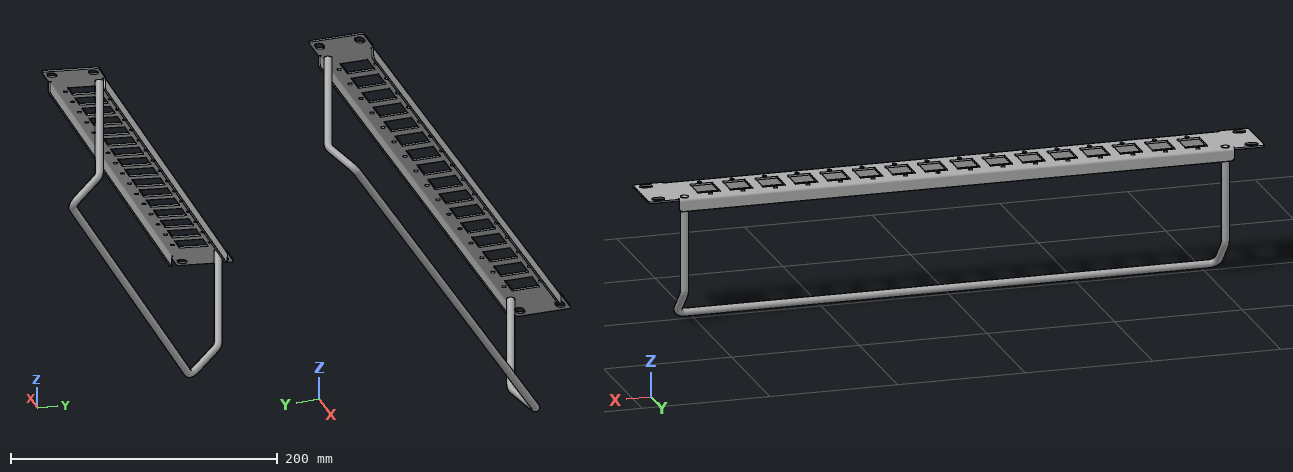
import cadquery as cq
import math

panel_length = 482.5
panel_width = 44.0
overall_height = 102.0
sheet = 1.5
corner_radius = 2.5

flange_length = 435.0
flange_height = 10.0
bend_radius = 2.5
flange_corner = 2.5

slot_span_x = 464.7
slot_span_y = 32.0
slot_length = 9.5
slot_width = 6.8

window_count = 16
window_row = 381.5
window_width = 17.5
window_height = 21.5
screw_hole_span = 29.0
screw_hole = 3.0

rod_diameter = 6.5
rod_span = 423.5
rod_y = panel_width / 2 - 6.0
rod_bend = 7.0
knee_depth = 76.3
knee_angle = 44.0

countersink_top = 6.5
countersink_bottom = 3.5
thread_hole = 2.45
thread_depth = 9.0
pilot_hole = 2.25
pilot_depth = 16.5


def make_panel():
    plate = (
        cq.Workplane("XY")
        .box(panel_length, panel_width, sheet, centered=(True, True, False))
        .edges("|Z")
        .fillet(corner_radius)
        .translate((0, 0, -sheet))
    )
    channel = (
        cq.Workplane("XY")
        .box(flange_length, panel_width, flange_height, centered=(True, True, False))
        .translate((0, 0, -flange_height))
    )
    plate = plate.cut(channel)
    channel = channel.edges("|X and >Z").fillet(bend_radius)
    inside = (
        cq.Workplane("XY")
        .box(flange_length, panel_width - 2 * sheet, flange_height, centered=(True, True, False))
        .edges("|X and >Z")
        .fillet(bend_radius - sheet)
        .translate((0, 0, -flange_height - sheet))
    )
    channel = channel.cut(inside).edges("|Y and <Z").fillet(flange_corner)
    return plate.union(channel)


def cut_slots(body):
    slots = (
        cq.Workplane("XY")
        .rarray(slot_span_x, slot_span_y, 2, 2)
        .slot2D(slot_length, slot_width)
        .extrude(-sheet)
    )
    return body.cut(slots)


def cut_windows(body):
    pitch = window_row / (window_count - 1)
    windows = (
        cq.Workplane("XY")
        .rarray(pitch, 5, window_count, 1)
        .rect(window_width, window_height)
        .extrude(-sheet)
    )
    holes = (
        cq.Workplane("XY")
        .rarray(pitch, screw_hole_span, window_count, 2)
        .circle(screw_hole / 2)
        .extrude(-sheet)
    )
    return body.cut(windows).cut(holes)


def make_rod():
    rod_radius = rod_diameter / 2
    tilt = math.radians(knee_angle)
    down = cq.Vector(0, 0, -1)
    slope = cq.Vector(0, -math.sin(tilt), -math.cos(tilt))
    across = cq.Vector(1, 0, 0)

    top = cq.Vector(-rod_span / 2, rod_y, -sheet)
    knee = cq.Vector(-rod_span / 2, rod_y, -knee_depth)
    slope_length = (overall_height - rod_radius - knee_depth) / math.cos(tilt)
    corner = knee + slope * slope_length

    knee_tangent = rod_bend * math.tan(tilt / 2)
    knee_start = knee - down * knee_tangent
    knee_end = knee + slope * knee_tangent
    corner_start = corner - slope * rod_bend
    corner_end = corner + across * rod_bend

    path = cq.Wire.assembleEdges([
        cq.Edge.makeLine(top, knee_start),
        cq.Edge.makeTangentArc(knee_start, down, knee_end),
        cq.Edge.makeLine(knee_end, corner_start),
        cq.Edge.makeTangentArc(corner_start, slope, corner_end),
    ])
    leg = (
        cq.Workplane("XY", origin=top.toTuple())
        .circle(rod_radius)
        .sweep(cq.Workplane(path))
    )
    bar = cq.Solid.makeCylinder(rod_radius, rod_span - 2 * rod_bend, corner_end, across)
    return leg.union(bar).union(leg.mirror("YZ"))


def cut_rod_screws(body):
    down = cq.Vector(0, 0, -1)
    for leg_x in (-rod_span / 2, rod_span / 2):
        top = cq.Vector(leg_x, rod_y, 0)
        pilot = cq.Solid.makeCylinder(pilot_hole / 2, pilot_depth, top, down)
        thread = cq.Solid.makeCylinder(thread_hole / 2, thread_depth, top, down)
        countersink = cq.Solid.makeCone(countersink_top / 2, countersink_bottom / 2, sheet, top, down)
        for cutter in (pilot, thread, countersink):
            body = body.cut(cq.Workplane(cutter))
    return body


panel = cut_windows(cut_slots(make_panel()))
result = cut_rod_screws(panel.union(make_rod()))